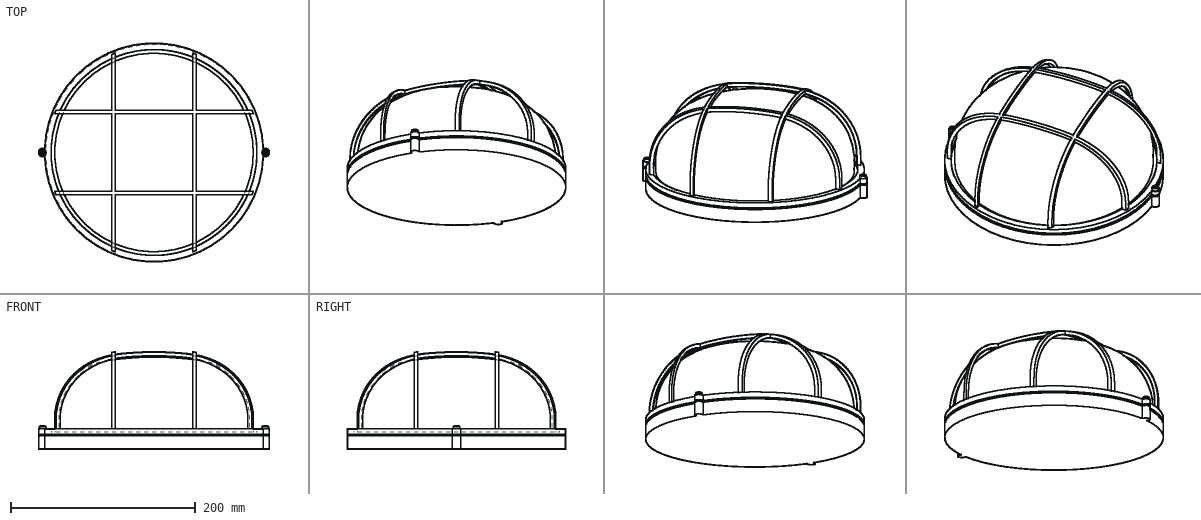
import cadquery as cq
import math

RIM_DIAMETER = 237.0
RIM_HEIGHT = 22.0
SEAM_BOTTOM = 14.5
SEAM_WIDTH = 1.5
SEAM_DEPTH = 1.0
LEDGE_DEPTH = 3.0

DOME_RADIUS = 107.5
DOME_TOP = 100.0
SKIRT_TOP = 32.5
SHOULDER_RADIUS = 64.0

GUARD_CLEARANCE = 4.0
GUARD_THICKNESS = 4.0
BAR_WIDTH = 4.0
BAR_OFFSET = 43.8

OVERALL_LENGTH = 250.0
LUG_RADIUS = 4.5

HEAD_RADIUS = 3.6
HEAD_HEIGHT = 3.2
HEAD_ROUNDING = 1.8
RECESS_LENGTH = 4.0
RECESS_WIDTH = 1.4
RECESS_DEPTH = 1.0
RECESS_ANGLE = 45.0

rim_radius = RIM_DIAMETER / 2
guard_inner_radius = DOME_RADIUS + GUARD_CLEARANCE
ledge_height = RIM_HEIGHT - LEDGE_DEPTH
lug_center = OVERALL_LENGTH / 2 - LUG_RADIUS

shoulder_x = DOME_RADIUS - SHOULDER_RADIUS
crown_rise = DOME_TOP - SKIRT_TOP
crown_radius = (shoulder_x**2 + crown_rise**2 - SHOULDER_RADIUS**2) / (2 * (crown_rise - SHOULDER_RADIUS))
crown_center_z = DOME_TOP - crown_radius
crown_angle = math.asin(shoulder_x / (crown_radius - SHOULDER_RADIUS))


def dome_solid(offset, bottom):
    """Solid of revolution with the dome's profile grown outward by `offset`."""
    shoulder = SHOULDER_RADIUS + offset
    crown = crown_radius + offset

    def on_shoulder(angle):
        return (shoulder_x + shoulder * math.sin(angle), SKIRT_TOP + shoulder * math.cos(angle))

    def on_crown(angle):
        return (crown * math.sin(angle), crown_center_z + crown * math.cos(angle))

    shoulder_middle = (crown_angle + math.pi / 2) / 2
    return (
        cq.Workplane("XZ")
        .moveTo(0, bottom)
        .lineTo(DOME_RADIUS + offset, bottom)
        .lineTo(DOME_RADIUS + offset, SKIRT_TOP)
        .threePointArc(on_shoulder(shoulder_middle), on_shoulder(crown_angle))
        .threePointArc(on_crown(crown_angle / 2), on_crown(0))
        .close()
        .revolve(360, (0, 0, 0), (0, 1, 0))
    )


def rim_slab(height, inset=0.0):
    """Disc with a straight-sided, round-ended lug at each end of the X axis, shrunk inward by `inset`."""
    disc = cq.Workplane("XY").circle(rim_radius - inset).extrude(height)
    lugs = cq.Workplane("XY").slot2D(OVERALL_LENGTH - 2 * inset, 2 * (LUG_RADIUS - inset)).extrude(height)
    return disc.union(lugs)


def base():
    """Rim with lugs, the seam groove around it and the ledge around the dome."""
    seam_ring = rim_slab(SEAM_WIDTH).cut(rim_slab(SEAM_WIDTH, SEAM_DEPTH))
    ledge = cq.Workplane("XY").circle(guard_inner_radius).extrude(LEDGE_DEPTH)
    body = rim_slab(RIM_HEIGHT).cut(seam_ring.translate((0, 0, SEAM_BOTTOM)))
    return body.cut(ledge.translate((0, 0, ledge_height)))


def guard():
    """Two pairs of crossing bars cut from a dome-shaped shell."""
    shell = dome_solid(GUARD_CLEARANCE + GUARD_THICKNESS, ledge_height)
    shell = shell.cut(dome_solid(GUARD_CLEARANCE, ledge_height))
    rows = [(0, -BAR_OFFSET), (0, BAR_OFFSET)]
    columns = [(-BAR_OFFSET, 0), (BAR_OFFSET, 0)]
    bar_height = DOME_TOP + GUARD_CLEARANCE + GUARD_THICKNESS
    bars_along_x = cq.Workplane("XY").pushPoints(rows).rect(RIM_DIAMETER, BAR_WIDTH).extrude(bar_height)
    bars_along_y = cq.Workplane("XY").pushPoints(columns).rect(BAR_WIDTH, RIM_DIAMETER).extrude(bar_height)
    return shell.intersect(bars_along_x.union(bars_along_y))


def screw_head():
    """Rounded screw head with a diagonal cross recess."""
    head = cq.Workplane("XY").circle(HEAD_RADIUS).extrude(HEAD_HEIGHT)
    head = head.faces(">Z").edges().fillet(HEAD_ROUNDING)
    for angle in (RECESS_ANGLE, -RECESS_ANGLE):
        slot = cq.Workplane("XY").rect(RECESS_LENGTH, RECESS_WIDTH).extrude(RECESS_DEPTH)
        slot = slot.rotate((0, 0, 0), (0, 0, 1), angle)
        head = head.cut(slot.translate((0, 0, HEAD_HEIGHT - RECESS_DEPTH)))
    return head


result = base().union(dome_solid(0, 0)).union(guard())
for side in (-1, 1):
    result = result.union(screw_head().translate((side * lug_center, 0, RIM_HEIGHT)))